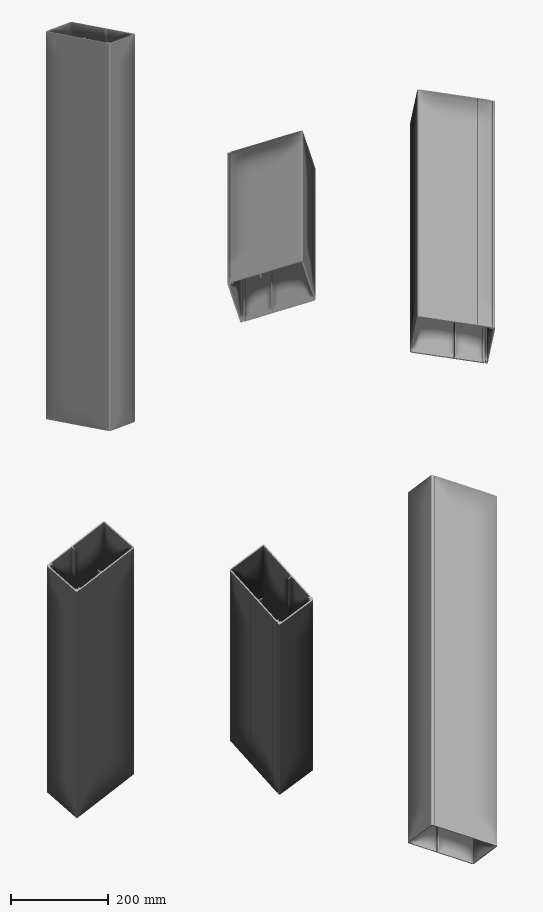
import cadquery as cq

WIDTH = 162.54
HEIGHT = 91.6
LENGTH = 825.0

WALL = 2.8
CORNER_RADIUS = 3.5

GROOVE_WIDTH = 0.5
GROOVE_DEPTH = 0.15
GROOVE_PITCH = 8.0
GROOVES_PER_GROUP = 4
GROOVE_GROUP_CENTRES_X = (-61.2, -0.7, 56.2)

RIB_BACK_X = 11.0
RIB_THICKNESS = 1.5
RIB_TIP_Y = 34.5
RIB_FOOT_WIDTH = 2.0
RIB_FOOT_Y = 41.5

RIM_START_X = 73.4
RIM_INNER_Y = 40.8
BACK_LIP_X = 70.0
BACK_LIP_THICKNESS = 1.5
FRONT_LIP_X = 75.5
LIP_TIP_Y = 38.5

FLANGE_THICKNESS = 1.8
JOINT_GAP = 2.4

half_width = WIDTH / 2
half_height = HEIGHT / 2
back_inner_x = -half_width + WALL
lid_inner_x = half_width - WALL
wall_inner_y = half_height - WALL
rim_outer_y = half_height - FLANGE_THICKNESS
flange_start_x = RIM_START_X + JOINT_GAP


def block(x_start, x_end, y_start, y_end):
    """Full-length rectangular bar between two X and two Y positions."""
    bar = cq.Workplane("XY").box(x_end - x_start, y_end - y_start, LENGTH, centered=False)
    return bar.translate((x_start, y_start, -LENGTH / 2))


def make_channel():
    """Back wall and the two plain side walls, open towards +X."""
    channel = block(-half_width, RIM_START_X, -half_height, half_height)
    channel = channel.edges("|Z and <X").fillet(CORNER_RADIUS)
    return channel.cut(block(back_inner_x, RIM_START_X, -wall_inner_y, wall_inner_y))


def rib_bars():
    """Rib and its foot on the +Y side wall."""
    rib = block(RIB_BACK_X, RIB_BACK_X + RIB_THICKNESS, RIB_TIP_Y, wall_inner_y)
    foot = block(RIB_BACK_X - RIB_FOOT_WIDTH, RIB_BACK_X, RIB_FOOT_Y, wall_inner_y)
    return [rib, foot]


def rim_bars():
    """Stepped-in rim on the +Y side wall, with its two lips."""
    rim_root = block(BACK_LIP_X, RIM_START_X, RIM_INNER_Y, wall_inner_y)
    rim = block(RIM_START_X, lid_inner_x, RIM_INNER_Y, rim_outer_y)
    back_lip = block(BACK_LIP_X, BACK_LIP_X + BACK_LIP_THICKNESS, LIP_TIP_Y, RIM_INNER_Y)
    front_lip = block(FRONT_LIP_X, lid_inner_x, LIP_TIP_Y, RIM_INNER_Y)
    return [rim_root, rim, back_lip, front_lip]


def groove_bars():
    """Cutters for all the grooves on the outside of the +Y side wall."""
    bars = []
    for group_x in GROOVE_GROUP_CENTRES_X:
        for index in range(GROOVES_PER_GROUP):
            centre_x = group_x + (index - (GROOVES_PER_GROUP - 1) / 2) * GROOVE_PITCH
            start_x = centre_x - GROOVE_WIDTH / 2
            end_x = centre_x + GROOVE_WIDTH / 2
            bars.append(block(start_x, end_x, half_height - GROOVE_DEPTH, half_height))
    return bars


def make_body():
    """Channel with ribs, rims and grooves, mirrored about the XZ plane."""
    body = make_channel()
    for bar in rib_bars() + rim_bars():
        body = body.union(bar).union(bar.mirror("XZ"))
    for bar in groove_bars():
        body = body.cut(bar).cut(bar.mirror("XZ"))
    return body


def make_lid():
    """Cover plate with a flange over each rim of the body."""
    lid = block(flange_start_x, half_width, -half_height, half_height)
    lid = lid.edges("|Z and >X").fillet(CORNER_RADIUS)
    return lid.cut(block(flange_start_x, lid_inner_x, -rim_outer_y, rim_outer_y))


body = make_body()
lid = make_lid()

result = cq.Compound.makeCompound([body.val(), lid.val()])